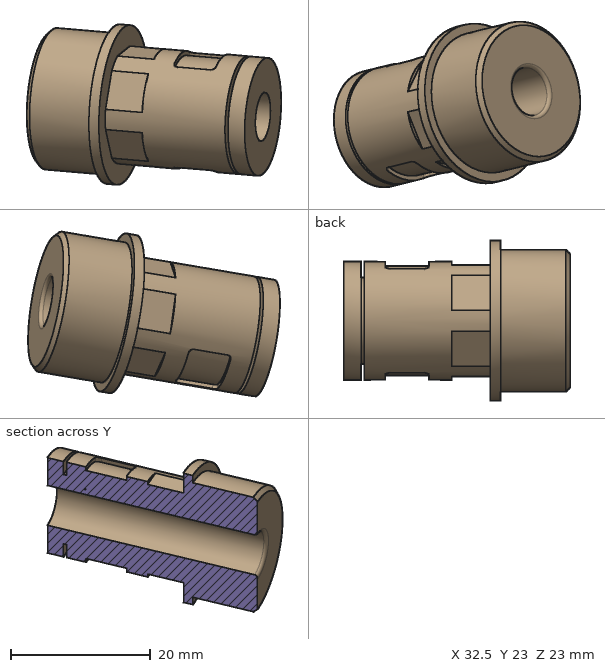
import cadquery as cq

length = 32.5
flange_start = 10.0
flange_end = 11.5
flats_end = 17.0
groove_start = 29.55
groove_width = 0.45

head_diameter = 20.4
flange_diameter = 23.0
barrel_diameter = 17.0
groove_diameter = 12.4
bore_diameter = 7.0

head_chamfer = 0.65
bore_mouth_radius = 0.52

across_flats = 16.0
flat_count = 6

pocket_center = 23.4
pocket_length = 6.25
pocket_width = 8.12
pocket_corner_radius = 0.65
pocket_floor_diameter = 15.7


def cylinder(diameter, start, end):
    """Solid cylinder along X between two stations."""
    return cq.Workplane("YZ", origin=(start, 0, 0)).circle(diameter / 2).extrude(end - start)


def ring(outer_diameter, inner_diameter, start, end):
    """Hollow cylinder along X between two stations."""
    return cylinder(outer_diameter, start, end).cut(cylinder(inner_diameter, start, end))


def make_body():
    """Chamfered head, flange and barrel, with a bore rounded at the head face."""
    head = cylinder(head_diameter, 0, flange_start).faces("<X").chamfer(head_chamfer)
    flange = cylinder(flange_diameter, flange_start, flange_end)
    barrel = cylinder(barrel_diameter, flange_end, length)
    body = head.union(flange).union(barrel).cut(cylinder(bore_diameter, 0, length))
    return body.faces("<X").edges(cq.selectors.RadiusNthSelector(0)).fillet(bore_mouth_radius)


def cut_flats(body):
    """Cut equally spaced flats into the barrel, one of them facing straight up."""
    cutter_height = flange_diameter / 2
    cutter = cq.Workplane("XY", origin=(flange_end, 0, across_flats / 2)).box(
        flats_end - flange_end, barrel_diameter, cutter_height, centered=(False, True, False)
    )
    for index in range(flat_count):
        body = body.cut(cutter.rotate((0, 0, 0), (1, 0, 0), index * 360 / flat_count))
    return body


def cut_pockets(body):
    """Cut the matching rounded pockets through the top and bottom of the barrel skin."""
    window = (
        cq.Workplane("XY", origin=(pocket_center, 0, 0))
        .box(pocket_length, pocket_width, flange_diameter)
        .edges("|Z")
        .fillet(pocket_corner_radius)
    )
    skin = ring(flange_diameter, pocket_floor_diameter, flats_end, groove_start)
    return body.cut(window.intersect(skin))


def cut_groove(body):
    """Cut the retaining ring groove near the barrel end."""
    return body.cut(ring(flange_diameter, groove_diameter, groove_start, groove_start + groove_width))


result = cut_groove(cut_pockets(cut_flats(make_body())))